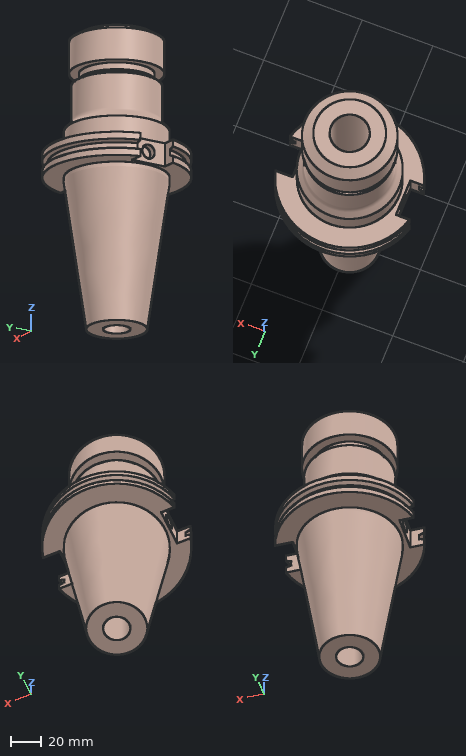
import cadquery as cq
import math

total_height = 203.2
gauge_z = 101.5
flange_bottom_z = 104.9
flange_height = 16.0
flange_top_z = flange_bottom_z + flange_height
flange_middle_z = flange_bottom_z + flange_height / 2
shoulder_z = 136.8
body_top_z = 168.2
neck_step_bottom_z = 171.5
neck_step_height = 0.6
nut_bottom_z = 176.8

gauge_radius = 35.0
taper_ratio = 7 / 24
small_end_radius = gauge_radius - gauge_z * taper_ratio / 2
flange_radius = 49.2
body_radius = 30.0
lower_neck_radius = 24.2
neck_radius = 25.0
nut_radius = 31.5
nut_face_radius = 24.0
nut_chamfer_angle = math.radians(30)

groove_floor_radius = 45.7
groove_floor_width = 3.7
groove_mouth_width = 6.5

blend_radius = 5.0
blend_angle = math.radians(45)

slot_width = 25.8
left_slot_floor = 37.8
right_slot_floor = 35.4
slot_hole_diameter = 9.5
slot_hole_depth = 5.0

through_diameter = 17.9
collet_bore_diameter = 26.5
collet_bore_depth = 81.3


def make_turned_body():
    """Revolve the outer half profile about Z."""
    blend_end_radius = body_radius + blend_radius * (1 - math.cos(blend_angle))
    blend_end_z = shoulder_z + gauge_radius - blend_end_radius
    blend_top_z = blend_end_z + blend_radius * math.sin(blend_angle)
    blend_mid = (
        body_radius + blend_radius * (1 - math.cos(blend_angle / 2)),
        blend_top_z - blend_radius * math.sin(blend_angle / 2),
    )
    nut_chamfer_z = total_height - (nut_radius - nut_face_radius) * math.tan(nut_chamfer_angle)
    profile = (
        cq.Workplane("XZ")
        .moveTo(0, 0)
        .lineTo(small_end_radius, 0)
        .lineTo(gauge_radius, gauge_z)
        .lineTo(gauge_radius, flange_bottom_z)
        .lineTo(flange_radius, flange_bottom_z)
        .lineTo(flange_radius, flange_middle_z - groove_mouth_width / 2)
        .lineTo(groove_floor_radius, flange_middle_z - groove_floor_width / 2)
        .lineTo(groove_floor_radius, flange_middle_z + groove_floor_width / 2)
        .lineTo(flange_radius, flange_middle_z + groove_mouth_width / 2)
        .lineTo(flange_radius, flange_top_z)
        .lineTo(gauge_radius, flange_top_z)
        .lineTo(gauge_radius, shoulder_z)
        .lineTo(blend_end_radius, blend_end_z)
        .threePointArc(blend_mid, (body_radius, blend_top_z))
        .lineTo(body_radius, body_top_z)
        .lineTo(lower_neck_radius, body_top_z)
        .lineTo(lower_neck_radius, neck_step_bottom_z)
        .lineTo(neck_radius, neck_step_bottom_z + neck_step_height)
        .lineTo(neck_radius, nut_bottom_z)
        .lineTo(nut_radius, nut_bottom_z)
        .lineTo(nut_radius, nut_chamfer_z)
        .lineTo(nut_face_radius, total_height)
        .lineTo(0, total_height)
        .close()
    )
    return profile.revolve(360, (0, 0, 0), (0, 1, 0))


def make_drive_slot(side, floor_distance):
    """Block that opens one flange side (+1 or -1 along X) down to the slot floor."""
    return (
        cq.Workplane("XY")
        .box(flange_radius, slot_width, flange_height)
        .translate((side * (floor_distance + flange_radius / 2), 0, flange_middle_z))
    )


def make_slot_hole():
    """Blind radial hole in the floor of the -X slot."""
    return (
        cq.Workplane("YZ", origin=(-left_slot_floor, 0, flange_middle_z))
        .circle(slot_hole_diameter / 2)
        .extrude(slot_hole_depth)
    )


def make_bore():
    """Through hole with a wider collet bore at the nut end."""
    through_hole = cq.Workplane("XY").circle(through_diameter / 2).extrude(total_height)
    collet_bore = (
        cq.Workplane("XY", origin=(0, 0, total_height - collet_bore_depth))
        .circle(collet_bore_diameter / 2)
        .extrude(collet_bore_depth)
    )
    return through_hole.union(collet_bore)


result = (
    make_turned_body()
    .cut(make_drive_slot(-1, left_slot_floor))
    .cut(make_drive_slot(1, right_slot_floor))
    .cut(make_slot_hole())
    .cut(make_bore())
)